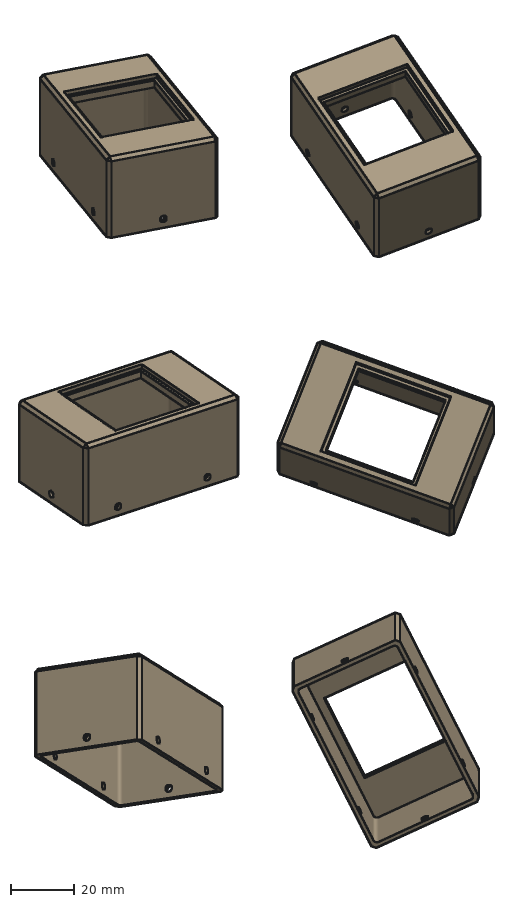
import cadquery as cq

length = 60.0
width = 38.0
height = 29.0
edge_chamfer = 1.2

wall = 1.5
roof_thickness = 4.0
cavity_corner_radius = 1.2

window_length = 29.6
window_width = 29.15
ledge_width = 1.25
recess_depth = 1.5

hole_diameter = 2.2
hole_height = 3.25
hole_spacing = 34.55


def make_body():
    """Block centred on X and Y, chamfered on its upright and top edges."""
    block = cq.Workplane("XY").box(length, width, height, centered=(True, True, False))
    return block.edges("|Z or >Z").chamfer(edge_chamfer)


def make_cavity():
    """Inside space with rounded upright corners, reaching up to the roof."""
    return (
        cq.Workplane("XY")
        .rect(length - 2 * wall, width - 2 * wall)
        .extrude(height - roof_thickness)
        .edges("|Z")
        .fillet(cavity_corner_radius)
    )


def make_window():
    """Window opening together with the wider recess above its ledge."""
    top = cq.Workplane("XY", origin=(0, 0, height))
    opening = top.rect(window_length, window_width).extrude(-roof_thickness)
    recess_length = window_length + 2 * ledge_width
    recess_width = window_width + 2 * ledge_width
    recess = top.rect(recess_length, recess_width).extrude(-recess_depth)
    return opening.union(recess)


def make_screw_holes():
    """Two holes through each long wall and one through each end wall."""
    long_wall_holes = (
        cq.Workplane("XZ", origin=(0, 0, hole_height))
        .pushPoints([(-hole_spacing / 2, 0), (hole_spacing / 2, 0)])
        .circle(hole_diameter / 2)
        .extrude(width / 2, both=True)
    )
    end_wall_holes = (
        cq.Workplane("YZ", origin=(0, 0, hole_height))
        .circle(hole_diameter / 2)
        .extrude(length / 2, both=True)
    )
    return long_wall_holes.union(end_wall_holes)


result = make_body().cut(make_cavity()).cut(make_window()).cut(make_screw_holes())